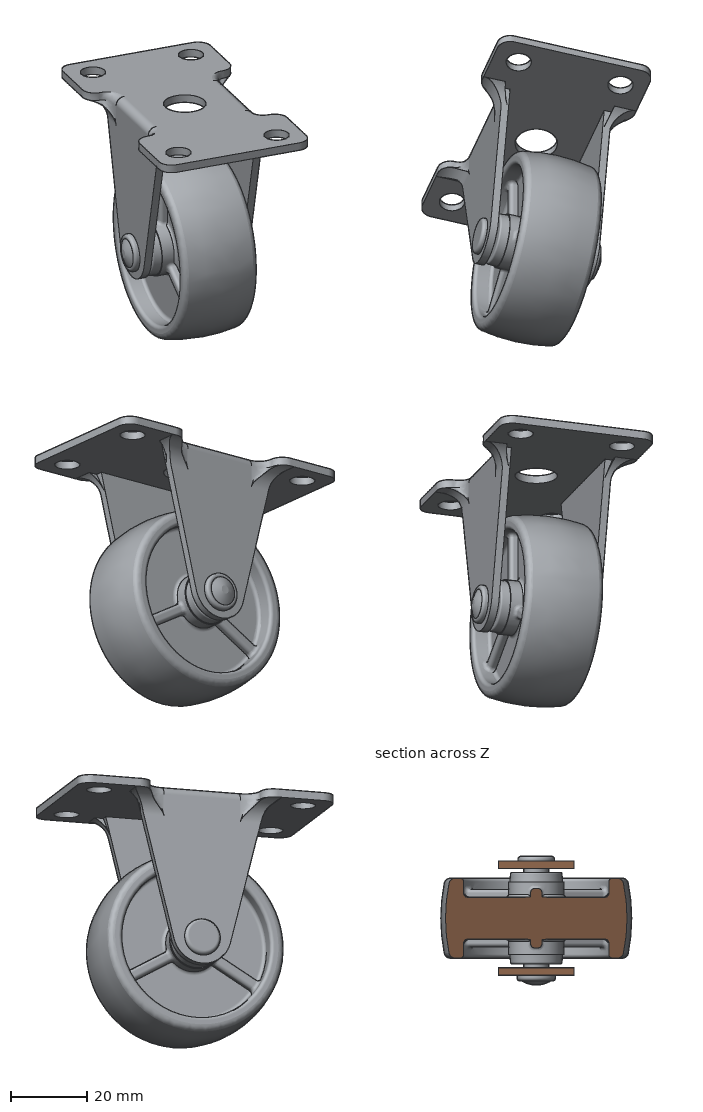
import cadquery as cq
import math


plate_length = 70
plate_width = 42
sheet = 2.2
plate_top = 40.0
plate_bottom = plate_top - sheet
corner_radius = 3.5
mount_hole_radius = 3.3
mount_hole_x = 28
mount_hole_y = 14
centre_hole_radius = 5.5

leg_outer_y = 15.0
leg_thickness = 2.0
leg_inner_y = leg_outer_y - leg_thickness
bend_top_y = leg_outer_y - sheet
leg_tip_radius = 8.0
leg_tip_z = 1.0
leg_taper = math.radians(14.2)

notch_flat_half = 10.5
notch_corner_length = 4.75
notch_wall_x = notch_flat_half + notch_corner_length
notch_corner_y = plate_width / 2 - corner_radius
flare_radius = 5.8
flare_reach_x = 19.95
flare_edge_drop = 4.6
bend_steps = 4
flare_bottom = plate_bottom - flare_radius

wheel_radius = 25.0
wheel_width = 21
shoulder_radius = 23.8
tread_fillet = 1.7
rim_radius = 20.4
rim_fillet = 1.0
web_depth = 5.0
web_half = wheel_width / 2 - web_depth
hub_tip_radius = 6.7
hub_root_radius = 7.2
hub_length = 24.0
hub_edge_fillet = 0.5
hub_base_fillet = 1.0
rib_count = 3
rib_width = 3.0
rib_height = 2.0
rib_fillet = 1.0

pick_margin = 0.1

axle_radius = 3.3
dome_radius = 5.05
dome_rim = 0.6
dome_shoulder_radius = 3.85
dome_shoulder_height = 1.4
dome_tip_radius = 1.1
dome_height = 2.45
dome_crown_radius = 7.1
flat_head_radius = 4.8
flat_head_height = 1.25
flat_head_fillet = 0.9


def along_y(radius, length):
    """Cylinder on the axle line, centred on the origin."""
    return cq.Workplane("XZ").circle(radius).extrude(length / 2, both=True)


def mirrored(shape):
    """The shape together with its copies across X, across Y and across both."""
    pair = shape.union(shape.mirror("YZ"))
    return pair.union(pair.mirror("XZ"))




def notch_outline(z, edge_y):
    """Plan outline of one notch corner: a convex round, then an elliptical corner."""
    outer_y = plate_width / 2
    round_offset = corner_radius * math.sqrt(0.5)
    round_centre_x = notch_wall_x + corner_radius
    return (
        cq.Workplane("XY", origin=(0, 0, z))
        .moveTo(-round_centre_x, -outer_y)
        .threePointArc(
            (-round_centre_x + round_offset, -notch_corner_y - round_offset),
            (-notch_wall_x, -notch_corner_y),
        )
        .ellipseArc(notch_corner_length, notch_corner_y - edge_y, 90, 180, sense=-1)
        .lineTo(-notch_flat_half, -outer_y)
        .close()
        .val()
    )


def make_notch_corner():
    """Cutter for a notch corner whose floor bends over from the plate top to the leg face."""
    outlines = []
    for step in range(bend_steps + 1):
        angle = math.pi / 2 * step / bend_steps
        z = plate_bottom + sheet * math.cos(angle)
        edge_y = bend_top_y + sheet * math.sin(angle)
        outlines.append(notch_outline(z, edge_y))
    return cq.Workplane(cq.Solid.makeLoft(outlines))


def make_notch_middle():
    """Cutter for the straight part of the notches, leaving a round bend over each leg."""
    outer_y = plate_width / 2
    bend_offset = sheet * math.sqrt(0.5)
    cutter = (
        cq.Workplane("YZ")
        .moveTo(-outer_y, plate_top)
        .lineTo(-bend_top_y, plate_top)
        .threePointArc(
            (-bend_top_y - bend_offset, plate_bottom + bend_offset),
            (-leg_outer_y, plate_bottom),
        )
        .lineTo(-outer_y, plate_bottom)
        .close()
        .extrude(notch_flat_half, both=True)
    )
    return cutter.union(cutter.mirror("XZ"))


def make_plate():
    plate = (
        cq.Workplane("XY", origin=(0, 0, plate_bottom))
        .rect(plate_length, plate_width)
        .extrude(sheet)
        .edges("|Z")
        .fillet(corner_radius)
        .faces(">Z")
        .workplane()
        .rect(2 * mount_hole_x, 2 * mount_hole_y, forConstruction=True)
        .vertices()
        .hole(2 * mount_hole_radius)
        .faces(">Z")
        .workplane()
        .hole(2 * centre_hole_radius)
    )
    return plate.cut(mirrored(make_notch_corner())).cut(make_notch_middle())


def leg_edge_x(z):
    """Half width of the leg along its tapered edge at height z."""
    return (leg_tip_radius + (z - leg_tip_z) * math.sin(leg_taper)) / math.cos(leg_taper)


def make_leg():
    """Tapered -Y leg with a round tip, reaching up to the plate."""
    tangent_x = leg_tip_radius * math.cos(leg_taper)
    tangent_z = leg_tip_z - leg_tip_radius * math.sin(leg_taper)
    top_x = leg_edge_x(plate_bottom)
    return (
        cq.Workplane("XZ", origin=(0, -leg_inner_y, 0))
        .moveTo(-top_x, plate_bottom)
        .lineTo(-tangent_x, tangent_z)
        .threePointArc((0, leg_tip_z - leg_tip_radius), (tangent_x, tangent_z))
        .lineTo(top_x, plate_bottom)
        .close()
        .extrude(leg_thickness)
    )


def make_fan_cutter():
    """Cone from the lower notch corner down to a point on the leg face."""
    base = notch_outline(plate_bottom, leg_outer_y)
    apex = cq.Vertex.makeVertex(-notch_flat_half, -leg_outer_y, flare_bottom)
    return cq.Workplane(cq.occ_impl.shapes.loft(base, apex, cap=True, ruled=True))


def make_shoulder():
    """Flare that blends one edge of the -Y leg into the plate underside."""
    flare_offset = flare_radius * math.sqrt(0.5)
    flare_end_y = leg_outer_y + flare_radius
    outward = (
        cq.Workplane("YZ")
        .moveTo(-leg_inner_y, flare_bottom)
        .lineTo(-leg_outer_y, flare_bottom)
        .threePointArc(
            (-flare_end_y + flare_offset, flare_bottom + flare_offset),
            (-flare_end_y, plate_bottom),
        )
        .lineTo(-leg_outer_y, plate_bottom)
        .close()
        .extrude(-plate_length / 2)
    )
    edge_z = plate_bottom - flare_edge_drop
    sideways = (
        cq.Workplane("XZ")
        .moveTo(-notch_flat_half, flare_bottom)
        .lineTo(-leg_edge_x(flare_bottom), flare_bottom)
        .lineTo(-leg_edge_x(edge_z), edge_z)
        .tangentArcPoint((-flare_reach_x, plate_bottom), relative=False)
        .lineTo(-notch_flat_half, plate_bottom)
        .close()
        .extrude(plate_width / 2)
    )
    return outward.intersect(sideways).cut(make_fan_cutter())


def make_bracket():
    legs = make_leg().union(make_leg().mirror("XZ"))
    return (
        make_plate()
        .union(legs)
        .union(mirrored(make_shoulder()))
        .cut(along_y(axle_radius, plate_width))
    )




def make_wheel_blank():
    """Solid wheel with a crowned tread and rounded shoulders."""
    half = wheel_width / 2
    return (
        cq.Workplane("XY")
        .moveTo(0, -half)
        .lineTo(shoulder_radius, -half)
        .threePointArc((wheel_radius, 0), (shoulder_radius, half))
        .lineTo(0, half)
        .close()
        .revolve(360, (0, 0, 0), (0, 1, 0))
        .faces("<Y or >Y")
        .edges()
        .fillet(tread_fillet)
    )


def make_recess():
    """Both side recesses of the wheel, rounded where each rim wall meets the web."""
    recess = (
        cq.Workplane("XZ", origin=(0, -web_half, 0))
        .circle(rim_radius)
        .extrude(web_depth)
        .faces(">Y")
        .edges()
        .fillet(rim_fillet)
    )
    return recess.union(recess.mirror("XZ"))


def make_hub():
    """Tapered hub standing out of both sides of the web, with rounded ends."""
    half = hub_length / 2
    half_hub = (
        cq.Workplane("XY")
        .lineTo(hub_root_radius, 0)
        .lineTo(hub_root_radius, web_half)
        .lineTo(hub_tip_radius, half)
        .lineTo(0, half)
        .close()
        .revolve(360, (0, 0, 0), (0, 1, 0))
        .faces(">Y")
        .edges()
        .fillet(hub_edge_fillet)
    )
    return half_hub.union(half_hub.mirror("XZ"))


def junction(radius):
    """Selector for the loop of edges where the upright rib meets a cylinder of this radius."""
    reach_x = rib_width / 2 + pick_margin
    reach_y = web_half + rib_height + pick_margin
    return cq.selectors.BoxSelector(
        (-reach_x, -reach_y, radius - rib_fillet),
        (reach_x, reach_y, radius + rib_fillet),
    )


def make_rib():
    """Upright spoke on both sides of the web, with a rounded top, flared at the hub and rim."""
    height = 2 * (web_half + rib_height)
    end_height = height + 4 * rib_fillet
    rim_outer = rim_radius + rim_fillet
    rim_ring = along_y(rim_outer, end_height).cut(along_y(rim_radius, end_height))
    return (
        cq.Workplane("XY")
        .rect(rib_width, height)
        .extrude(rim_outer - rim_fillet / 2)
        .edges("|Z")
        .fillet(rib_fillet)
        .union(rim_ring)
        .union(along_y(hub_root_radius, end_height))
        .edges(junction(rim_radius))
        .fillet(rib_fillet)
        .edges(junction(hub_root_radius))
        .fillet(rib_fillet)
    )


def make_wheel():
    """Rim and web with a hub, equally spaced ribs and a bore, alike on both sides."""
    wheel = make_wheel_blank().cut(make_recess())
    inner_rim_edges = cq.selectors.RadiusNthSelector(0)
    wheel = wheel.faces("<Y or >Y").edges(inner_rim_edges).fillet(rim_fillet)
    wheel = wheel.union(make_hub())
    reach_xz = hub_root_radius + pick_margin
    reach_y = web_half + pick_margin
    hub_root = cq.selectors.BoxSelector(
        (-reach_xz, -reach_y, -reach_xz),
        (reach_xz, reach_y, reach_xz),
        boundingbox=True,
    )
    wheel = wheel.edges(hub_root).fillet(hub_base_fillet)
    for index in range(rib_count):
        angle = index * 360 / rib_count
        wheel = wheel.union(make_rib().rotate((0, 0, 0), (0, 1, 0), angle))
    return wheel.cut(along_y(axle_radius, hub_length))




def make_axle():
    """Rivet through the legs and the wheel: domed head at -Y, flat head at +Y."""
    dome_base = -leg_outer_y
    shaft = along_y(axle_radius, 2 * leg_outer_y)
    tip_y = dome_base - dome_height
    dome = (
        cq.Workplane("XY")
        .moveTo(0, dome_base)
        .lineTo(dome_radius, dome_base)
        .lineTo(dome_radius, dome_base - dome_rim)
        .tangentArcPoint((dome_shoulder_radius, dome_base - dome_shoulder_height), relative=False)
        .radiusArc((dome_tip_radius, tip_y), dome_crown_radius)
        .lineTo(0, tip_y)
        .close()
        .revolve(360, (0, 0, 0), (0, 1, 0))
    )
    flat_head = (
        cq.Workplane("XZ", origin=(0, leg_outer_y, 0))
        .circle(flat_head_radius)
        .extrude(-flat_head_height)
        .faces(">Y")
        .edges()
        .fillet(flat_head_fillet)
    )
    return shaft.union(dome).union(flat_head)


bracket = make_bracket()
wheel = make_wheel()
axle = make_axle()
result = cq.Compound.makeCompound([bracket.val(), wheel.val(), axle.val()])